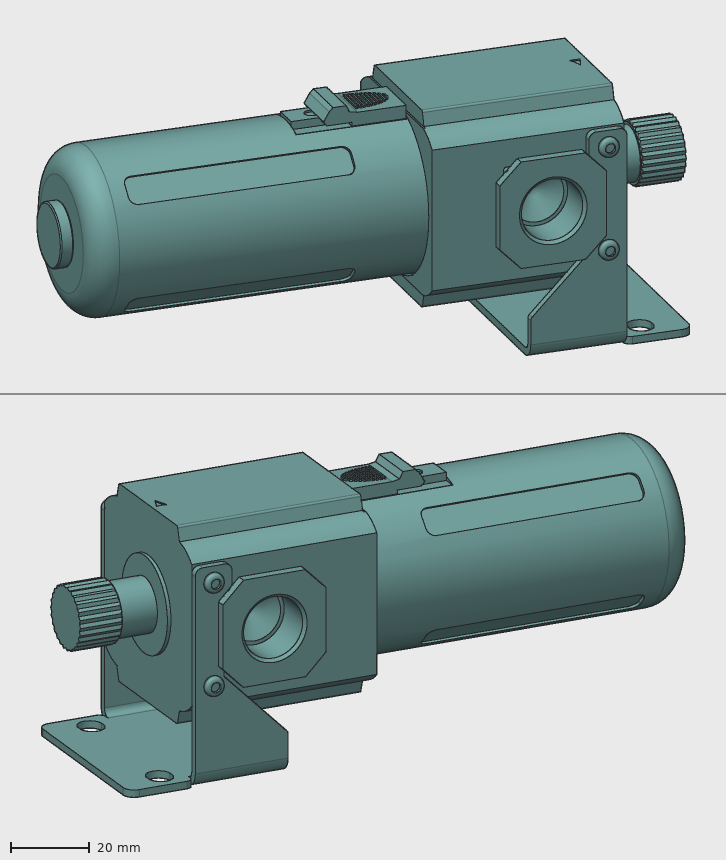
import cadquery as cq
import math


OVERALL_WIDTH = 60.0
OVERALL_LENGTH = 169.8

HOUSING_LENGTH = 52.1
HOUSING_HALF_WIDTH = 25.3
SIDE_HALF_HEIGHT = 19.2
SHOULDER_MID_X = 22.4
SHOULDER_MID_Z = 21.4
LUG_BASE_HALF_WIDTH = 18.2
LUG_BASE_Z = 23.0
LUG_TOP_HALF_WIDTH = 17.0
LUG_TOP_Z = 26.8
LUG_EDGE_RADIUS = 0.7
FRONT_LIP = 0.5
FRONT_LIP_HALF_HEIGHT = 22.8

ARROW_LENGTH = 3.7
ARROW_WIDTH = 2.7
ARROW_Y = -2.9
ARROW_DEPTH = 0.3

PORT_FACE_X = OVERALL_WIDTH / 2
PORT_Y = -21.0
PORT_SIZE = 29.0
PORT_CORNER = 5.8
NECK_SIZE = 23.5
NECK_CORNER_RADIUS = 0.8
PORT_RADIUS = 8.3
PORT_CHAMFER = 0.8
PORT_DEPTH = 11.5
DRILL_RADIUS = 7.3
DRILL_TIP_HALF_ANGLE = 59

KNOB_RADIUS = 8.7
KNOB_END_Y = 23.3
KNOB_LENGTH = 12.0
KNOB_CHAMFER = 0.5
STEM_RADIUS = 7.5
COLLAR_RADIUS = 13.2
COLLAR_THICKNESS = 1.0
SERRATIONS = 26
SERRATION_DEPTH = 0.5

BOWL_RADIUS = 22.4
BOWL_END_Y = -143.0
BOWL_END_RADIUS = 7.1
SOCKET_RADIUS = 23.0
SOCKET_DEPTH = 3.4
BUTTON_END_Y = KNOB_END_Y - OVERALL_LENGTH
BUTTON_RADIUS = KNOB_RADIUS
BUTTON_CHAMFER = 0.3
GRIP_FLAT_RADIUS = 21.4
GRIP_WIDTH = 8.0
GRIP_START_Y = -70.0
GRIP_LENGTH = 61.5
GRIP_CORNER_RADIUS = 2.4
GRIP_ANGLES = (45, 135, 225, 315)

SEAT_Z = 21.0
SEAT_HALF_WIDTH = 7.5
SEAT_END_Y = -82.2
PAD_HALF_WIDTH = 3.7
PAD_TOP_Z = 23.3
DIMPLE_RADIUS = 1.9
DIMPLE_Y = -75.2
DIMPLE_DEPTH = 0.5
LATCH_HALF_WIDTH = 7.0
LATCH_TOP_Z = 24.6
LATCH_HUMP_Z = LUG_TOP_Z
LATCH_LIP_Z = 22.0
LATCH_LIP_START_Y = -66.9
LATCH_RAMP_RISE = 0.3
LATCH_HUMP_START_Y = -67.4
LATCH_HUMP_TOP_START_Y = -68.5
LATCH_HUMP_TOP_END_Y = -72.0
LATCH_SHOULDER_Y = -73.0
LATCH_SHOULDER_Z = 25.8
LATCH_TIP_Y = -74.5
LATCH_TIP_Z = 23.3
LATCH_LIP_END_Y = -73.7
TEETH = 10
TOOTH_PITCH = 1.07
TOOTH_HEIGHT = 0.5
TEETH_HALF_WIDTH = 4.5
TEETH_BASE_Y = -65.4
TEETH_LENGTH = 10.9

PLATE = 2.0
BRACKET_HALF_WIDTH = HOUSING_HALF_WIDTH + PLATE
BRACKET_BOTTOM_Z = -41.0
BRACKET_TOP_Z = 18.7
BEND_INNER_RADIUS = 2.0
TAB_FRONT_Y = -10.4
TAB_CORNER_RADIUS = 2.0
TAB_BOTTOM_Z = 12.5
GUSSET_TOP_Y = -8.2
BRACKET_FRONT_Y = -26.1
GUSSET_CORNER_RADIUS = 1.4
FLANGE_END_Y = 18.3
FLANGE_HALF_WIDTH = 26.3
FLANGE_CORNER_RADIUS = 3.0
FLANGE_ROOT_RADIUS = 1.9
SLOT_WIDTH = 6.6
SLOT_LENGTH = 7.8
SLOT_X = 19.9
SLOT_Y = 6.5

SCREW_Y = -5.1
SCREW_HEIGHTS = (-13.8, 14.3)
HEAD_RADIUS = 2.7
HEAD_HEIGHT = 1.7
HEAD_RIM = 0.5
SCREW_SOCKET_RADIUS = 1.4
SCREW_SOCKET_DEPTH = 0.8
SHANK_RADIUS = 1.5
SHANK_LENGTH = 6.8

SIDES = (-1, 1)


def box(x_range, y_range, z_range):
    """Box given by its lower and upper limits along each axis."""
    (x0, x1), (y0, y1), (z0, z1) = x_range, y_range, z_range
    return cq.Workplane("XY").box(x1 - x0, y1 - y0, z1 - z0, centered=False).translate((x0, y0, z0))


def rod(radius, start_y, end_y):
    """Cylinder on the Y axis from start_y down to end_y."""
    return cq.Workplane("XZ", origin=(0, start_y, 0)).circle(radius).extrude(start_y - end_y)


def serrated_rod(radius, start_y, end_y):
    """Rod with V grooves all round its rim."""
    points = []
    for i in range(2 * SERRATIONS):
        r = radius if i % 2 == 0 else radius - SERRATION_DEPTH
        angle = math.pi * i / SERRATIONS
        points.append((r * math.cos(angle), r * math.sin(angle)))
    return cq.Workplane("XZ", origin=(0, start_y, 0)).polyline(points).close().extrude(start_y - end_y)


def block():
    """Housing block with rounded shoulders and a lug above and below."""
    outline = (
        cq.Workplane("XZ")
        .moveTo(HOUSING_HALF_WIDTH, -SIDE_HALF_HEIGHT)
        .lineTo(HOUSING_HALF_WIDTH, SIDE_HALF_HEIGHT)
        .threePointArc((SHOULDER_MID_X, SHOULDER_MID_Z), (LUG_BASE_HALF_WIDTH, LUG_BASE_Z))
        .lineTo(LUG_TOP_HALF_WIDTH, LUG_TOP_Z)
        .lineTo(-LUG_TOP_HALF_WIDTH, LUG_TOP_Z)
        .lineTo(-LUG_BASE_HALF_WIDTH, LUG_BASE_Z)
        .threePointArc((-SHOULDER_MID_X, SHOULDER_MID_Z), (-HOUSING_HALF_WIDTH, SIDE_HALF_HEIGHT))
        .lineTo(-HOUSING_HALF_WIDTH, -SIDE_HALF_HEIGHT)
        .threePointArc((-SHOULDER_MID_X, -SHOULDER_MID_Z), (-LUG_BASE_HALF_WIDTH, -LUG_BASE_Z))
        .lineTo(-LUG_TOP_HALF_WIDTH, -LUG_TOP_Z)
        .lineTo(LUG_TOP_HALF_WIDTH, -LUG_TOP_Z)
        .lineTo(LUG_BASE_HALF_WIDTH, -LUG_BASE_Z)
        .threePointArc((SHOULDER_MID_X, -SHOULDER_MID_Z), (HOUSING_HALF_WIDTH, -SIDE_HALF_HEIGHT))
        .close()
    )
    body = outline.extrude(HOUSING_LENGTH)
    body = body.faces("<Z or >Z").edges("|Y").fillet(LUG_EDGE_RADIUS)
    for side in SIDES:
        trim_z = sorted((side * FRONT_LIP_HALF_HEIGHT, side * LUG_TOP_Z))
        body = body.cut(box(
            (-HOUSING_HALF_WIDTH, HOUSING_HALF_WIDTH),
            (-HOUSING_LENGTH, FRONT_LIP - HOUSING_LENGTH),
            trim_z,
        ))
    return body


def flow_arrow():
    """Triangular cutter pointing along +X."""
    return (
        cq.Workplane("XY", origin=(0, ARROW_Y, LUG_TOP_Z))
        .moveTo(-ARROW_LENGTH / 2, -ARROW_WIDTH / 2)
        .lineTo(ARROW_LENGTH / 2, 0)
        .lineTo(-ARROW_LENGTH / 2, ARROW_WIDTH / 2)
        .close()
        .extrude(-ARROW_DEPTH)
    )


def port_boss():
    """Square neck and octagonal plate on the +X side."""
    neck = (
        cq.Workplane("YZ", origin=(HOUSING_HALF_WIDTH, PORT_Y, 0))
        .rect(NECK_SIZE, NECK_SIZE)
        .extrude(PLATE)
        .edges("|X").fillet(NECK_CORNER_RADIUS)
    )
    plate = (
        cq.Workplane("YZ", origin=(BRACKET_HALF_WIDTH, PORT_Y, 0))
        .rect(PORT_SIZE, PORT_SIZE)
        .extrude(PORT_FACE_X - BRACKET_HALF_WIDTH)
        .edges("|X").chamfer(PORT_CORNER)
    )
    return neck.union(plate)


def port_bore():
    """Chamfered blind bore on the +X side, ending in a conical drill tip."""
    floor_x = PORT_FACE_X - PORT_DEPTH
    tip_x = floor_x - DRILL_RADIUS / math.tan(math.radians(DRILL_TIP_HALF_ANGLE))
    return (
        cq.Workplane("XY")
        .moveTo(tip_x, 0)
        .lineTo(floor_x, DRILL_RADIUS)
        .lineTo(floor_x, PORT_RADIUS)
        .lineTo(PORT_FACE_X - PORT_CHAMFER, PORT_RADIUS)
        .lineTo(PORT_FACE_X, PORT_RADIUS + PORT_CHAMFER)
        .lineTo(PORT_FACE_X, 0)
        .close()
        .revolve(360, (0, 0, 0), (1, 0, 0))
        .translate((0, PORT_Y, 0))
    )


def knob():
    """Collar, stem and serrated knob behind the housing."""
    knob_start = KNOB_END_Y - KNOB_LENGTH
    envelope = rod(KNOB_RADIUS, KNOB_END_Y, knob_start).faces("<Y").chamfer(KNOB_CHAMFER)
    grip = serrated_rod(KNOB_RADIUS, KNOB_END_Y, knob_start).intersect(envelope)
    stem = rod(STEM_RADIUS, knob_start, 0)
    collar = rod(COLLAR_RADIUS, COLLAR_THICKNESS, 0)
    return collar.union(stem).union(grip)


def screw_at(side, z):
    """Round-head screw on one side of the bracket, its shank running into the housing."""
    screw = (
        cq.Workplane("XY")
        .moveTo(-SHANK_LENGTH, 0)
        .lineTo(-SHANK_LENGTH, SHANK_RADIUS)
        .lineTo(0, SHANK_RADIUS)
        .lineTo(0, HEAD_RADIUS)
        .lineTo(HEAD_RIM, HEAD_RADIUS)
        .tangentArcPoint((HEAD_HEIGHT, SCREW_SOCKET_RADIUS), relative=False)
        .lineTo(HEAD_HEIGHT - SCREW_SOCKET_DEPTH, SCREW_SOCKET_RADIUS)
        .lineTo(HEAD_HEIGHT - SCREW_SOCKET_DEPTH, 0)
        .close()
        .revolve(360, (0, 0, 0), (1, 0, 0))
        .translate((BRACKET_HALF_WIDTH, SCREW_Y, z))
    )
    return screw if side > 0 else screw.mirror("YZ")


def screw_holes():
    """Holes for all the screw shanks."""
    holes = cq.Workplane("XY")
    for side in SIDES:
        hole = (
            cq.Workplane("YZ", origin=(side * BRACKET_HALF_WIDTH, SCREW_Y, 0))
            .pushPoints([(0, z) for z in SCREW_HEIGHTS])
            .circle(SHANK_RADIUS)
            .extrude(-side * SHANK_LENGTH)
        )
        holes = holes.add(hole)
    return holes.combine()


def make_housing():
    body = block().union(knob())
    boss = port_boss()
    bore = port_bore()
    body = body.union(boss).union(boss.mirror("YZ"))
    body = body.cut(bore).cut(bore.mirror("YZ"))
    socket = rod(SOCKET_RADIUS, SOCKET_DEPTH - HOUSING_LENGTH, -HOUSING_LENGTH)
    return body.cut(socket).cut(screw_holes()).cut(flow_arrow())


def grip_recess(angle):
    """Cutter for one long flat grip recess, turned about the Y axis."""
    recess = (
        cq.Workplane("XY", origin=(0, GRIP_START_Y - GRIP_LENGTH / 2, GRIP_FLAT_RADIUS))
        .rect(GRIP_WIDTH, GRIP_LENGTH)
        .extrude(BOWL_RADIUS - GRIP_FLAT_RADIUS)
        .edges("|Z").fillet(GRIP_CORNER_RADIUS)
    )
    return recess.rotate((0, 0, 0), (0, 1, 0), angle)


def latch_pad():
    """Raised pad in the latch seat with a round dimple."""
    pad = box(
        (-PAD_HALF_WIDTH, PAD_HALF_WIDTH),
        (SEAT_END_Y, LATCH_LIP_START_Y),
        (SEAT_Z, PAD_TOP_Z),
    )
    dimple = (
        cq.Workplane("XY", origin=(0, DIMPLE_Y, PAD_TOP_Z))
        .circle(DIMPLE_RADIUS)
        .extrude(-DIMPLE_DEPTH)
    )
    return pad.cut(dimple)


def latch():
    """Latch lever: flat thumb area, hump and overhanging lip."""
    return (
        cq.Workplane("YZ", origin=(-LATCH_HALF_WIDTH, 0, 0))
        .moveTo(-HOUSING_LENGTH, SEAT_Z)
        .lineTo(-HOUSING_LENGTH, LATCH_TOP_Z)
        .lineTo(TEETH_BASE_Y, LATCH_TOP_Z)
        .lineTo(LATCH_HUMP_START_Y, LATCH_TOP_Z + LATCH_RAMP_RISE)
        .lineTo(LATCH_HUMP_TOP_START_Y, LATCH_HUMP_Z)
        .lineTo(LATCH_HUMP_TOP_END_Y, LATCH_HUMP_Z)
        .lineTo(LATCH_SHOULDER_Y, LATCH_SHOULDER_Z)
        .lineTo(LATCH_TIP_Y, LATCH_TIP_Z)
        .lineTo(LATCH_LIP_END_Y, LATCH_LIP_Z)
        .lineTo(LATCH_LIP_START_Y, LATCH_LIP_Z)
        .lineTo(LATCH_LIP_START_Y, SEAT_Z)
        .close()
        .extrude(2 * LATCH_HALF_WIDTH)
    )


def latch_teeth():
    """Cross ribs on the thumb area, bounded by an ellipse."""
    bound = (
        cq.Workplane("XY", origin=(0, TEETH_BASE_Y, LATCH_TOP_Z))
        .ellipse(TEETH_HALF_WIDTH, TEETH_LENGTH)
        .extrude(TOOTH_HEIGHT)
    )
    tooth_width = TOOTH_PITCH / 2
    ribs = cq.Workplane("XY")
    for i in range(TEETH):
        start_y = TEETH_BASE_Y + tooth_width + i * TOOTH_PITCH
        ribs = ribs.add(box(
            (-TEETH_HALF_WIDTH, TEETH_HALF_WIDTH),
            (start_y, start_y + tooth_width),
            (LATCH_TOP_Z, LATCH_TOP_Z + TOOTH_HEIGHT),
        ))
    return ribs.combine().intersect(bound)


def make_bowl():
    body = rod(BOWL_RADIUS, SOCKET_DEPTH - HOUSING_LENGTH, BOWL_END_Y)
    body = body.faces("<Y").edges().fillet(BOWL_END_RADIUS)
    button = rod(BUTTON_RADIUS, BOWL_END_Y, BUTTON_END_Y).faces("<Y or >Y").chamfer(BUTTON_CHAMFER)
    body = body.union(button)
    for angle in GRIP_ANGLES:
        body = body.cut(grip_recess(angle))
    seat = box(
        (-SEAT_HALF_WIDTH, SEAT_HALF_WIDTH),
        (SEAT_END_Y, -HOUSING_LENGTH),
        (SEAT_Z, BOWL_RADIUS),
    )
    return body.cut(seat).union(latch_pad()).union(latch()).union(latch_teeth())


def bent_strip():
    """U-shaped bent plate, before its side walls are trimmed."""
    height = BRACKET_TOP_Z - BRACKET_BOTTOM_Z
    length = -BRACKET_FRONT_Y
    outer = (
        cq.Workplane("XZ", origin=(0, 0, BRACKET_BOTTOM_Z + height / 2))
        .rect(2 * BRACKET_HALF_WIDTH, height)
        .extrude(length)
        .edges("|Y and <Z").fillet(BEND_INNER_RADIUS + PLATE)
    )
    inner = (
        cq.Workplane("XZ", origin=(0, 0, BRACKET_BOTTOM_Z + PLATE + height / 2))
        .rect(2 * HOUSING_HALF_WIDTH, height)
        .extrude(length)
        .edges("|Y and <Z").fillet(BEND_INNER_RADIUS)
    )
    return outer.cut(inner)


def wall_outline():
    """Side wall shape: tab at the top, a notch round the port neck, a 45 degree gusset below."""
    neck_half = NECK_SIZE / 2
    notch_chamfer = GUSSET_TOP_Y - TAB_FRONT_Y
    gusset_drop = GUSSET_TOP_Y - BRACKET_FRONT_Y
    wall = (
        cq.Workplane("YZ", origin=(-BRACKET_HALF_WIDTH, 0, 0))
        .moveTo(0, BRACKET_BOTTOM_Z)
        .lineTo(0, BRACKET_TOP_Z)
        .lineTo(TAB_FRONT_Y, BRACKET_TOP_Z)
        .lineTo(TAB_FRONT_Y, TAB_BOTTOM_Z)
        .lineTo(GUSSET_TOP_Y, TAB_BOTTOM_Z - notch_chamfer)
        .lineTo(GUSSET_TOP_Y, -neck_half)
        .lineTo(BRACKET_FRONT_Y, -neck_half - gusset_drop)
        .lineTo(BRACKET_FRONT_Y, BRACKET_BOTTOM_Z)
        .close()
        .extrude(2 * BRACKET_HALF_WIDTH)
    )
    wall = wall.edges("|X and >Z").fillet(TAB_CORNER_RADIUS)
    gusset_corner = cq.selectors.NearestToPointSelector((0, BRACKET_FRONT_Y, -neck_half - gusset_drop))
    return wall.edges(gusset_corner).fillet(GUSSET_CORNER_RADIUS)


def flange():
    """Flat rear flange with rounded corners and two mounting slots."""
    plate = box(
        (-FLANGE_HALF_WIDTH, FLANGE_HALF_WIDTH),
        (0, FLANGE_END_Y),
        (BRACKET_BOTTOM_Z, BRACKET_BOTTOM_Z + PLATE),
    )
    plate = plate.edges("|Z and >Y").fillet(FLANGE_CORNER_RADIUS)
    plate = plate.edges("|Z and <Y").fillet(FLANGE_ROOT_RADIUS)
    slots = (
        cq.Workplane("XY", origin=(0, SLOT_Y, BRACKET_BOTTOM_Z))
        .pushPoints([(-SLOT_X, 0), (SLOT_X, 0)])
        .slot2D(SLOT_LENGTH, SLOT_WIDTH)
        .extrude(PLATE)
    )
    return plate.cut(slots)


def make_bracket():
    return bent_strip().intersect(wall_outline()).union(flange()).cut(screw_holes())


housing = make_housing()
bowl = make_bowl()
bracket = make_bracket()
screws = [screw_at(side, z) for side in SIDES for z in SCREW_HEIGHTS]

result = cq.Compound.makeCompound([
    housing.solids().val(),
    bowl.solids().val(),
    bracket.solids().val(),
    *[screw.solids().val() for screw in screws],
])